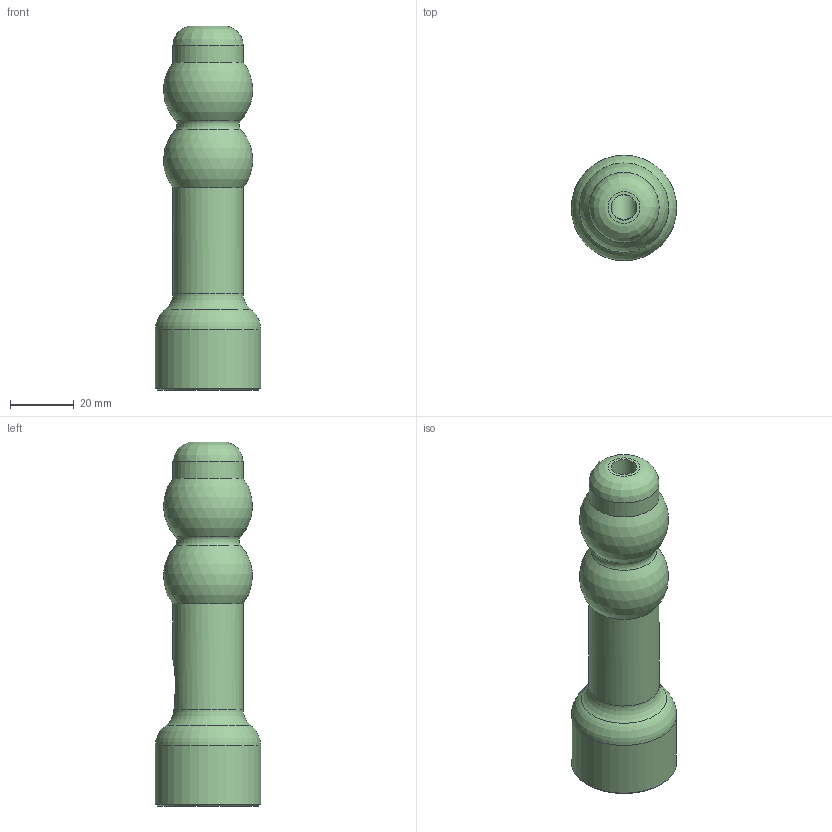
import cadquery as cq
import math

total_height = 114
base_radius = 33 / 2
base_chamfer = 0.6
stem_radius = 22 / 2

shoulder_start_z = 18.9
shoulder_convex_radius = 8
shoulder_concave_radius = 6.2

ball_radius = 14
upper_ball_z = 94
ball_spacing = 22
neck_edge_half_gap = 1.4
neck_waist_radius = 9.8

tip_round_radius = 6

bore_diameter = 8
bore_slope_angle = 25
bore_bend_z = 60
bore_outlet_length = 38


def arc_point(center_r, center_z, radius, angle):
    """Point on a circle of the profile plane, angle in radians from the outward direction."""
    return (center_r + radius * math.cos(angle), center_z + radius * math.sin(angle))


def turned_body():
    """Solid of revolution with the complete outer shape."""
    arcs_total = shoulder_convex_radius + shoulder_concave_radius
    join_angle = math.acos(1 - (base_radius - stem_radius) / arcs_total)
    convex_center = (base_radius - shoulder_convex_radius, shoulder_start_z)
    concave_center = (
        stem_radius + shoulder_concave_radius,
        shoulder_start_z + arcs_total * math.sin(join_angle),
    )
    convex_mid = arc_point(*convex_center, shoulder_convex_radius, join_angle / 2)
    shoulder_join = arc_point(*convex_center, shoulder_convex_radius, join_angle)
    concave_mid = arc_point(*concave_center, shoulder_concave_radius, math.pi + join_angle / 2)

    lower_ball_z = upper_ball_z - ball_spacing
    ball_half_chord = math.sqrt(ball_radius**2 - stem_radius**2)
    neck_z = (upper_ball_z + lower_ball_z) / 2
    neck_edge_radius = math.sqrt(ball_radius**2 - (ball_spacing / 2 - neck_edge_half_gap) ** 2)

    tip_center = (stem_radius - tip_round_radius, total_height - tip_round_radius)
    tip_mid = arc_point(*tip_center, tip_round_radius, math.pi / 4)

    return (
        cq.Workplane("XZ")
        .lineTo(base_radius - base_chamfer, 0)
        .lineTo(base_radius, base_chamfer)
        .lineTo(base_radius, shoulder_start_z)
        .threePointArc(convex_mid, shoulder_join)
        .threePointArc(concave_mid, (stem_radius, concave_center[1]))
        .lineTo(stem_radius, lower_ball_z - ball_half_chord)
        .threePointArc((ball_radius, lower_ball_z), (neck_edge_radius, neck_z - neck_edge_half_gap))
        .threePointArc((neck_waist_radius, neck_z), (neck_edge_radius, neck_z + neck_edge_half_gap))
        .threePointArc((ball_radius, upper_ball_z), (stem_radius, upper_ball_z + ball_half_chord))
        .lineTo(stem_radius, tip_center[1])
        .threePointArc(tip_mid, (tip_center[0], total_height))
        .lineTo(0, total_height)
        .close()
        .revolve(360, (0, 0, 0), (0, 1, 0))
    )


def bent_bore():
    """Cutter for the vertical bore and its sloping outlet, with a ball at the bend."""
    slope = math.radians(bore_slope_angle)
    bore_radius = bore_diameter / 2
    bend_point = cq.Vector(0, 0, bore_bend_z)
    outlet_direction = cq.Vector(0, math.sin(slope), -math.cos(slope))

    inlet = cq.Solid.makeCylinder(bore_radius, total_height - bore_bend_z, bend_point)
    outlet = cq.Solid.makeCylinder(bore_radius, bore_outlet_length, bend_point, outlet_direction)
    bend = cq.Workplane("XY").sphere(bore_radius).translate(bend_point)
    return bend.union(cq.Workplane(inlet)).union(cq.Workplane(outlet))


result = turned_body().cut(bent_bore())